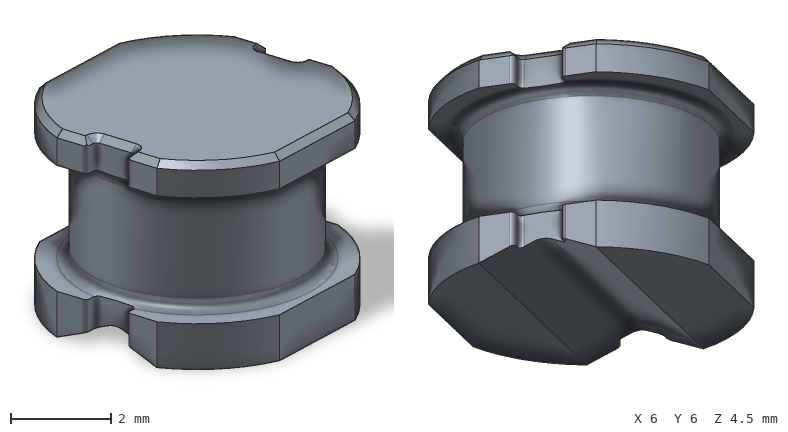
import cadquery as cq
import math

height = 4.5
width = 6.0

flat_length = 2.5
flange_radius = math.hypot(width / 2, flat_length / 2)
bottom_flange_height = 1.0
top_flange_height = 0.75
top_flange_base = height - top_flange_height
top_chamfer = 0.15

core_radius = 5.12 / 2
core_fillet = 0.25

notch_width = 1.0
notch_depth = 0.3
notch_corner_radius = 0.1

groove_depth = 0.5
groove_ridge_radius = 0.5


def notch_edges(distance):
    """Selector for notch edges lying at the given distance in front of and behind the X axis."""
    reach = notch_corner_radius
    front, back = [
        cq.selectors.BoxSelector(
            (-notch_width / 2 - reach, y - reach, -height),
            (notch_width / 2 + reach, y + reach, 2 * height),
        )
        for y in (-distance, distance)
    ]
    return front + back


def trimmed_disc(base_z, thickness):
    """Flange blank: a disc with four flats."""
    plane = cq.Workplane("XY").workplane(offset=base_z)
    disc = plane.circle(flange_radius).extrude(thickness)
    square = plane.rect(width, width).extrude(thickness)
    return disc.intersect(square)


def notched_flange(base_z, thickness):
    """Flange with a notch in the front and back flats; only the inner notch corners are rounded."""
    notches = (
        cq.Workplane("XY")
        .workplane(offset=base_z)
        .pushPoints([(0, -width / 2), (0, width / 2)])
        .rect(notch_width, 2 * notch_depth)
        .extrude(thickness)
    )
    flange = trimmed_disc(base_z, thickness).cut(notches)
    inner_corners = notch_edges(width / 2 - notch_depth)
    return flange.edges("|Z").edges(inner_corners).fillet(notch_corner_radius)


def round_notch_mouths(flange):
    """Round the outer corners of both notches over the full flange height."""
    return flange.edges("|Z").edges(notch_edges(width / 2)).fillet(notch_corner_radius)


def top_flange():
    """Chamfered flange; the chamfer keeps its mitred corners and is trimmed by the rounded mouths."""
    blank = notched_flange(top_flange_base, top_flange_height)
    chamfered = blank.faces(">Z").chamfer(top_chamfer)
    return chamfered.intersect(round_notch_mouths(blank))


def ridge_groove():
    """Cutter for the underside groove: a V with a rounded ridge."""
    groove = (
        cq.Workplane("XZ")
        .polyline([(-flat_length / 2, 0), (0, groove_depth), (flat_length / 2, 0)])
        .close()
        .extrude(width / 2, both=True)
    )
    return groove.edges(">Z").fillet(groove_ridge_radius)


def bottom_flange():
    """Flange with the groove across its underside."""
    return round_notch_mouths(notched_flange(0, bottom_flange_height)).cut(ridge_groove())


def core():
    """Round core with a flared fillet at each flange."""
    flare_radius = core_radius + core_fillet
    profile = (
        cq.Workplane("XZ")
        .moveTo(0, bottom_flange_height)
        .lineTo(flare_radius, bottom_flange_height)
        .radiusArc((core_radius, bottom_flange_height + core_fillet), core_fillet)
        .lineTo(core_radius, top_flange_base - core_fillet)
        .radiusArc((flare_radius, top_flange_base), core_fillet)
        .lineTo(0, top_flange_base)
        .close()
    )
    return profile.revolve(360, (0, 0, 0), (0, 1, 0))


def notch_clearance():
    """Flat-sided envelope that trims the core flares where they reach into the notches."""
    span = top_flange_base - bottom_flange_height
    return round_notch_mouths(notched_flange(bottom_flange_height, span))


trimmed_core = core().intersect(notch_clearance())
result = bottom_flange().union(trimmed_core).union(top_flange())